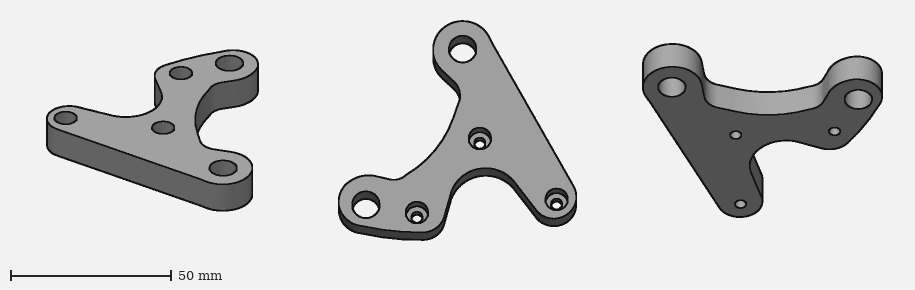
import cadquery as cq

thickness = 10.0
base_y = 0.15

bore_diameter = 8.6
bore_centers = [(62.4, 9.15), (33.15, 59.8)]

screw_diameter = 3.5
head_diameter = 2 * screw_diameter
head_depth = 6.0
screw_centers = [(5.85, 6.85), (34.6, 18.35), (23.2, 47.1)]

right_lobe_radius = 9.3
right_lobe_x = 71.45 - right_lobe_radius
right_lobe_y = 9.3


def plate():
    """Boomerang-shaped plate, outlined clockwise from the left end of the lower edge."""
    return (
        cq.Workplane("XY")
        .moveTo(7.0, base_y)
        .threePointArc((0, 7.0), (5.2, 14.0))
        .lineTo(17.5, 15.7)
        .threePointArc((26.8, 26.65), (24.1, 34.3))
        .lineTo(18.35, 39.85)
        .threePointArc((16.0, 44.0), (16.7, 48.45))
        .threePointArc((21.1, 55.65), (27.85, 64.3))
        .threePointArc((35.0, 67.7), (42.2, 60.2))
        .threePointArc((41.8, 56.2), (40.0, 52.95))
        .lineTo(36.65, 49.3)
        .threePointArc((35.4, 46.9), (35.5, 44.1))
        .threePointArc((38.5, 31.4), (44.3, 22.6))
        .lineTo(48.65, 17.8)
        .threePointArc((51.1, 16.5), (54.65, 16.65))
        .lineTo(59.6, 18.15)
        .threePointArc(
            (right_lobe_x + right_lobe_radius, right_lobe_y),
            (right_lobe_x, right_lobe_y - right_lobe_radius),
        )
        .lineTo(59.4, base_y)
        .close()
        .extrude(thickness)
    )


def cylinders(centers, diameter, bottom_z):
    """Vertical cutters reaching from bottom_z to the top face."""
    return (
        cq.Workplane("XY")
        .workplane(offset=bottom_z)
        .pushPoints(centers)
        .circle(diameter / 2)
        .extrude(thickness - bottom_z)
    )


result = (
    plate()
    .cut(cylinders(bore_centers, bore_diameter, 0))
    .cut(cylinders(screw_centers, screw_diameter, 0))
    .cut(cylinders(screw_centers, head_diameter, thickness - head_depth))
)